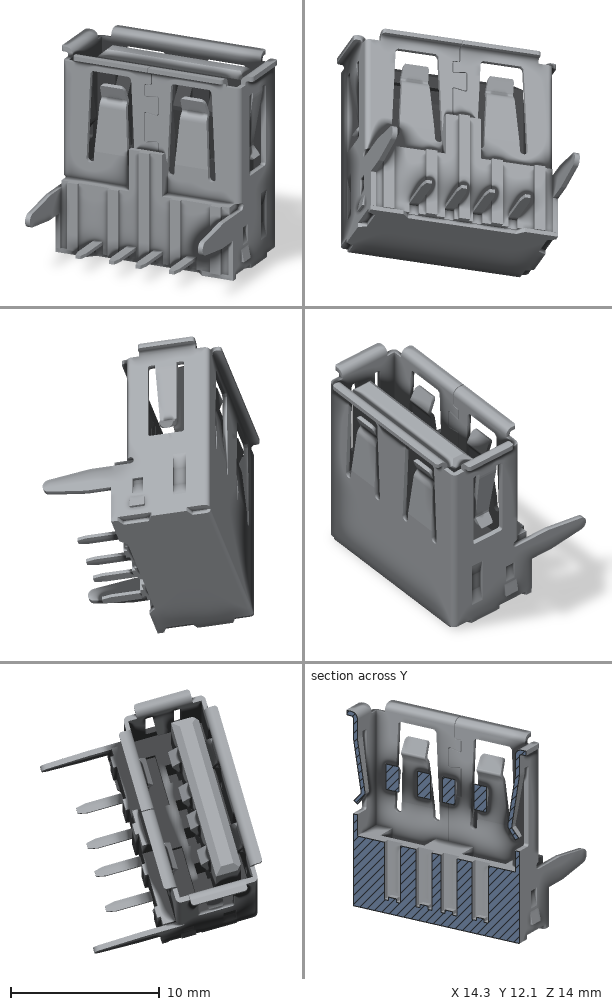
import cadquery as cq
import math


total_width = 14.3
total_height = 14.0
shell_width = 13.24
shell_depth = 5.72
side_wall = 0.36
broad_wall = 0.3
shell_corner_radius = 0.36
shoulder_z = 13.35
half_width = shell_width / 2
half_depth = shell_depth / 2
inner_half_width = half_width - side_wall
inner_half_depth = half_depth - broad_wall

broad_flange_length = 11.15
side_flange_length = 3.92
broad_flange_tip = 3.45
side_flange_tip = total_width / 2
flange_bend_radius = 0.5
flange_corner_radius = 0.21

shelf_z = 5.12
housing_front = -3.73
column_width = 2.49
column_top_z = 8.11
column_chamfer_depth = 0.49
column_chamfer_height = 0.97
rib_front = -3.98
rib_half_width = 0.39
rib_centers = (-5.33, -2.32, 0, 2.32, 5.33)
pocket_left, pocket_right = 1.47, 4.99
pocket_back = -1.05
pocket_floor_z = 4.43

tongue_width = 10.93
tongue_front, tongue_back = 0.2, 2.05
tongue_top_z = 13.25
tongue_bevel = 0.49
tongue_bevel_height = 0.45
tongue_corner_chamfer = 0.35

contact_centers = (-3.49, -0.99, 0.99, 3.49)
contact_width = 1.05
groove_width = 1.25
groove_depth = 0.43
groove_low_z, groove_top_z = 6.75, 11.98
contact_well_front = -0.59
contact_crest_y = -0.43
contact_crest_low_z, contact_crest_high_z = 10.15, 10.44
contact_foot_z = 6.88
pin_width = 0.66
pin_tip_width = 0.39
pin_low_z, pin_high_z = 0.99, 1.23
pin_taper_y = -6.29
pin_tip_y = -6.95
pin_slot_depth = 0.25

spring_center = 3.0
spring_root_half, spring_tip_half = 1.23, 0.87
spring_root_z, spring_bend_z = 7.22, 10.37
spring_jog_low_z, spring_jog_high_z, spring_crest_end_z = 10.78, 10.84, 11.07
spring_outer_tip_z, spring_tip_z = 11.93, 12.07
spring_bend_inset, spring_jog_inset, spring_crest_inset, spring_tip_inset = 0.29, 0.46, 0.5, 0.06
spring_tip_radius = 0.36
window_top_z = 12.94
window_top_half = 1.52
window_corner = 0.17
leg_end_z = 6.65
leg_end_offset = 1.53
leg_end_radius = 0.27

side_window_center = -0.1
side_window_width = 2.52
side_window_low_z, side_window_high_z = 6.65, 12.44
side_window_corner = 0.17
side_spring_root_half, side_spring_tip_half = 0.75, 0.53
side_spring_root_z, side_spring_lean_z = 12.2, 12.01
side_spring_bend_high_z, side_spring_bend_low_z = 8.4, 8.22
side_spring_outer_tip_z, side_spring_inner_tip_z = 7.61, 7.38
side_spring_lean_inset = 0.01
side_spring_inset = 0.6
side_spring_tip_inset = 0.06
side_spring_tip_run = 0.3
side_spring_tip_radius = 0.5

side_front = -3.92
tail_low_z, tail_high_z = 2.86, 4.6
tail_tip_y = -8.64
tail_tip_low_z, tail_tip_high_z = 3.22, 4.19
tail_high_taper_y, tail_low_taper_y = -5.33, -5.63
tail_round_y = -8.24
relief_end_y = -2.33
relief_radius = (shelf_z - tail_high_z) / 2
dent_depth = 0.25
dent_back, dent_front = 1.29, 0.39
dent_heights = (4.85, 3.8, 2.52, 1.52)
notch_back, notch_front = -1.67, -2.4
notch_heights = (3.32, 3.05, 2.05)
barb_back, barb_front = -1.56, -2.59
barb_low_z, barb_high_z = 0.93, 1.83
barb_height = 0.19

plate_half_width = 6.08
plate_front = -3.89
plate_back_radius = 0.26
foot_back, foot_front = 1.33, -1.12
foot_slope = 0.29
front_foot_back = -3.45
front_recess_half = 4.29
front_recess_depth = 0.47

seam_gap = 0.06
seam_radius = 0.11
seam_side = 0.5
seam_overrun = 1.43
seam_points = (
    (0, total_height + seam_overrun), (0, 12.64), (-seam_side, 12.64), (-seam_side, 11.68), (seam_side, 11.88),
    (seam_side, 10.5), (-seam_side, 10.67), (-seam_side, 8.42), (seam_side, 8.62), (seam_side, -seam_overrun),
)


def block(x0, x1, y0, y1, z0, z1):
    """Box between two opposite corners."""
    return cq.Workplane("XY").box(x1 - x0, y1 - y0, z1 - z0, centered=False).translate((x0, y0, z0))


def prism_along_x(x0, x1, points):
    """Extrude a closed (Y, Z) outline from x0 to x1."""
    return cq.Workplane("YZ", origin=(x0, 0, 0)).polyline(points).close().extrude(x1 - x0)


def prism_along_y(y0, y1, points):
    """Extrude a closed (X, Z) outline from y0 up to y1."""
    return cq.Workplane("XZ", origin=(0, y1, 0)).polyline(points).close().extrude(y1 - y0)


def left_and_right(solid):
    return solid.union(solid.mirror("YZ"))


def front_and_back(solid):
    return solid.union(solid.mirror("XZ"))


def flange(wall_outside, wall, tip, length):
    """Flange along X, rolled outwards towards -Y from a wall whose outside is at -wall_outside."""
    bend_y = -(wall_outside - wall + flange_bend_radius)
    bend_z = total_height - flange_bend_radius
    inner_radius = flange_bend_radius - wall
    diagonal = math.sqrt(0.5)
    body = (
        cq.Workplane("YZ", origin=(-length / 2, 0, 0))
        .moveTo(-wall_outside, shoulder_z)
        .lineTo(-wall_outside + wall, shoulder_z)
        .lineTo(-wall_outside + wall, bend_z)
        .threePointArc(
            (bend_y + flange_bend_radius * diagonal, bend_z + flange_bend_radius * diagonal),
            (bend_y, total_height),
        )
        .lineTo(-tip, total_height)
        .lineTo(-tip, total_height - wall)
        .lineTo(bend_y, total_height - wall)
        .threePointArc(
            (bend_y + inner_radius * diagonal, bend_z + inner_radius * diagonal),
            (-wall_outside, bend_z),
        )
        .close()
        .extrude(length)
    )
    return body.edges("|Z").edges("<Y").fillet(flange_corner_radius)


def shell_tube():
    tube = block(-half_width, half_width, -half_depth, half_depth, broad_wall, shoulder_z)
    tube = tube.edges("|Z").fillet(shell_corner_radius)
    tube = tube.cut(
        block(-inner_half_width, inner_half_width, -inner_half_depth, inner_half_depth, 0, total_height)
    )
    broad_flange = flange(half_depth, broad_wall, broad_flange_tip, broad_flange_length)
    side_flange = flange(half_width, side_wall, side_flange_tip, side_flange_length)
    side_flange = side_flange.rotate((0, 0, 0), (0, 0, 1), -90)
    tube = tube.union(front_and_back(broad_flange)).union(left_and_right(side_flange))
    opening = block(-half_width, half_width, -half_depth, relief_end_y + relief_radius, 0, shelf_z)
    return tube.cut(opening)


def board_tail():
    """Left lower side wall with its long tapered board tail."""
    relief_y = relief_end_y - relief_radius
    wall_back = relief_end_y + relief_radius
    tip_z = (tail_tip_low_z + tail_tip_high_z) / 2
    return (
        cq.Workplane("YZ", origin=(-half_width, 0, 0))
        .moveTo(wall_back, broad_wall)
        .lineTo(wall_back, shelf_z)
        .lineTo(relief_y, shelf_z)
        .threePointArc((relief_end_y, shelf_z - relief_radius), (relief_y, tail_high_z))
        .lineTo(tail_high_taper_y, tail_high_z)
        .lineTo(tail_round_y, tail_tip_high_z)
        .threePointArc((tail_tip_y, tip_z), (tail_round_y, tail_tip_low_z))
        .lineTo(tail_low_taper_y, tail_low_z)
        .lineTo(side_front, tail_low_z)
        .lineTo(side_front, broad_wall)
        .close()
        .extrude(side_wall)
    )


def bottom_plate():
    """Bottom plate: its side edges step out to feet under the side walls."""
    recess_inner_half = front_recess_half - front_recess_depth
    plate = (
        cq.Workplane("XY")
        .polyline([
            (0, half_depth),
            (-plate_half_width, half_depth),
            (-plate_half_width, foot_back + foot_slope),
            (-half_width, foot_back),
            (-half_width, foot_front),
            (-plate_half_width, foot_front - foot_slope),
            (-plate_half_width, front_foot_back + foot_slope),
            (-half_width, front_foot_back),
            (-half_width, plate_front),
            (-front_recess_half, plate_front),
            (-recess_inner_half, plate_front + front_recess_depth),
            (0, plate_front + front_recess_depth),
        ])
        .close()
        .extrude(broad_wall)
    )
    return left_and_right(plate).faces(">Y").edges("<Z").fillet(plate_back_radius)


def broad_window():
    """U-shaped cut-out around the front left spring."""
    center = -spring_center
    cutter = (
        cq.Workplane("XZ", origin=(0, -inner_half_depth, 0))
        .moveTo(center - spring_root_half, spring_root_z)
        .lineTo(center - leg_end_offset + leg_end_radius, leg_end_z)
        .threePointArc(
            (center - leg_end_offset, leg_end_z - leg_end_radius),
            (center - leg_end_offset - leg_end_radius, leg_end_z),
        )
        .lineTo(center - window_top_half, window_top_z - window_corner)
        .lineTo(center - window_top_half + window_corner, window_top_z)
        .lineTo(center + window_top_half - window_corner, window_top_z)
        .lineTo(center + window_top_half, window_top_z - window_corner)
        .lineTo(center + leg_end_offset + leg_end_radius, leg_end_z)
        .threePointArc(
            (center + leg_end_offset, leg_end_z - leg_end_radius),
            (center + leg_end_offset - leg_end_radius, leg_end_z),
        )
        .lineTo(center + spring_root_half, spring_root_z)
        .close()
        .extrude(broad_wall)
    )
    return front_and_back(left_and_right(cutter))


def broad_spring():
    """Front left spring: bent into the socket, with its tip flared back out."""
    crest_y = -half_depth + spring_crest_inset
    tip_y = -half_depth + spring_tip_inset
    filled = (
        cq.Workplane("YZ", origin=(-half_width, 0, 0))
        .moveTo(-half_depth, spring_root_z)
        .lineTo(-half_depth + spring_bend_inset, spring_bend_z)
        .tangentArcPoint((-half_depth + spring_jog_inset, spring_jog_low_z), relative=False)
        .lineTo(crest_y, spring_jog_high_z)
        .tangentArcPoint((crest_y, spring_crest_end_z), relative=False)
        .lineTo(tip_y, spring_tip_z)
        .lineTo(0, spring_tip_z)
        .lineTo(0, spring_root_z)
        .close()
        .extrude(half_width)
    )
    tip_trim = prism_along_x(-half_width, 0, [
        (tip_y, spring_outer_tip_z), (tip_y + broad_wall, spring_tip_z), (tip_y, spring_tip_z),
    ])
    strip = filled.cut(filled.translate((0, broad_wall, 0))).cut(tip_trim)
    outline = prism_along_y(-half_depth, 0, [
        (-spring_center - spring_root_half, spring_root_z),
        (-spring_center + spring_root_half, spring_root_z),
        (-spring_center + spring_tip_half, spring_tip_z),
        (-spring_center - spring_tip_half, spring_tip_z),
    ]).faces(">Z").edges("|Y").fillet(spring_tip_radius)
    return front_and_back(left_and_right(strip.intersect(outline)))


def side_window():
    height = side_window_high_z - side_window_low_z
    middle_z = (side_window_high_z + side_window_low_z) / 2
    cutter = (
        cq.Workplane("YZ", origin=(-half_width, side_window_center, middle_z))
        .rect(side_window_width, height)
        .extrude(side_wall)
        .edges("|X").fillet(side_window_corner)
    )
    root = block(
        -half_width, 0,
        side_window_center - side_spring_root_half, side_window_center + side_spring_root_half,
        side_spring_root_z, side_window_high_z,
    )
    return left_and_right(cutter.cut(root))


def side_spring():
    """Left side spring: hangs from the top of its window and bends inwards."""
    bend_x = -half_width + side_spring_inset
    tip_x = -half_width + side_spring_tip_inset
    strip = prism_along_y(-half_depth, half_depth, [
        (-half_width, side_spring_root_z),
        (-half_width + side_spring_lean_inset, side_spring_lean_z),
        (bend_x, side_spring_bend_high_z),
        (bend_x, side_spring_bend_low_z),
        (tip_x, side_spring_outer_tip_z),
        (tip_x + side_spring_tip_run, side_spring_inner_tip_z),
        (bend_x + side_wall, side_spring_bend_low_z),
        (bend_x + side_wall, side_spring_bend_high_z),
        (-inner_half_width + side_spring_lean_inset, side_spring_lean_z),
        (-inner_half_width, side_spring_root_z),
    ])
    outline = prism_along_x(-half_width, 0, [
        (side_window_center - side_spring_root_half, side_spring_root_z),
        (side_window_center + side_spring_root_half, side_spring_root_z),
        (side_window_center + side_spring_tip_half, side_spring_inner_tip_z),
        (side_window_center - side_spring_tip_half, side_spring_inner_tip_z),
    ]).faces("<Z").edges("|X").fillet(side_spring_tip_radius)
    return left_and_right(strip.intersect(outline))


def side_recesses():
    """Tapered dent and sloped notch pressed into each side wall."""
    dent_x = -half_width + dent_depth
    top, flat_top, flat_bottom, bottom = dent_heights
    dent = prism_along_y(dent_front, dent_back, [
        (-half_width, top), (dent_x, flat_top), (dent_x, flat_bottom), (-half_width, bottom),
    ])
    top, slope_top, bottom = notch_heights
    notch = prism_along_y(notch_front, notch_back, [
        (-half_width, top), (dent_x, top), (dent_x, slope_top), (-half_width, bottom),
    ])
    return left_and_right(dent.union(notch))


def side_barbs():
    barb = prism_along_y(barb_front, barb_back, [
        (-half_width + side_wall, barb_high_z),
        (-half_width, barb_high_z),
        (-half_width - barb_height, barb_low_z),
        (-half_width + side_wall, barb_low_z),
    ])
    return left_and_right(barb)


def seam():
    """Thin interlocking gap down the middle of the front wall and its flange."""
    start_y = -inner_half_depth + broad_wall
    beyond_shell = -total_width
    left_part = (
        cq.Workplane("XZ", origin=(0, start_y, 0))
        .polyline([*seam_points, (beyond_shell, seam_points[-1][1]), (beyond_shell, seam_points[0][1])])
        .close()
        .extrude(broad_flange_tip)
    )
    bends = cq.selectors.BoxSelector(
        (-2 * seam_side, -total_width, 0),
        (2 * seam_side, total_width, total_height),
    )
    left_part = left_part.edges("|Y").edges(bends).fillet(seam_radius)
    grown = (
        cq.Workplane("XZ", origin=(0, start_y, 0))
        .add(left_part.faces(">Y").wires().vals())
        .toPending()
        .offset2D(seam_gap)
        .extrude(broad_flange_tip)
    )
    return grown.cut(left_part)


def housing():
    body = block(
        -inner_half_width, inner_half_width, housing_front, inner_half_depth, broad_wall, shelf_z
    )
    column = prism_along_x(-column_width / 2, column_width / 2, [
        (housing_front, shelf_z),
        (housing_front, column_top_z),
        (-half_depth - column_chamfer_depth, column_top_z),
        (-half_depth, column_top_z - column_chamfer_height),
        (-half_depth, shelf_z),
    ])
    body = body.union(column)
    for center in rib_centers:
        top_z = column_top_z if center == 0 else shelf_z
        body = body.union(block(
            center - rib_half_width, center + rib_half_width, rib_front, housing_front, broad_wall, top_z
        ))
    pocket = block(-pocket_right, -pocket_left, -inner_half_depth, pocket_back, pocket_floor_z, shelf_z)
    return body.cut(left_and_right(pocket)).union(tongue())


def tongue():
    half = tongue_width / 2
    base_z = tongue_top_z - tongue_bevel_height
    depth = tongue_back - tongue_front
    middle_y = (tongue_back + tongue_front) / 2
    body = block(-half, half, tongue_front, tongue_back, shelf_z, base_z)
    tip = (
        cq.Workplane("XY", origin=(0, middle_y, base_z))
        .rect(tongue_width, depth)
        .workplane(offset=tongue_bevel_height)
        .rect(tongue_width - 2 * tongue_bevel, depth - 2 * tongue_bevel)
        .loft(ruled=True)
    )
    corner = (
        cq.Workplane("XY", origin=(0, 0, shelf_z))
        .polyline([
            (-half, tongue_back),
            (-half + tongue_corner_chamfer, tongue_back),
            (-half, tongue_back - tongue_corner_chamfer),
        ])
        .close()
        .extrude(total_height)
    )
    return body.union(tip).cut(left_and_right(corner))


def contact_grooves():
    """Per contact: groove in the tongue, well in the floor and slot under the pin."""
    grooves = cq.Workplane("XY")
    for center in contact_centers:
        left, right = center - groove_width / 2, center + groove_width / 2
        grooves = grooves.union(
            block(left, right, tongue_front, tongue_front + groove_depth, groove_low_z, groove_top_z)
        )
        grooves = grooves.union(
            block(left, right, contact_well_front, tongue_front, pin_low_z, shelf_z)
        )
        grooves = grooves.union(block(
            center - pin_width / 2, center + pin_width / 2,
            housing_front, housing_front + pin_slot_depth, broad_wall, pin_low_z,
        ))
    return grooves


def contacts():
    """Crested contact on the tongue and flat board pin for each position."""
    groove_back = tongue_front + groove_depth
    parts = cq.Workplane("XY")
    for center in contact_centers:
        blade = prism_along_x(center - contact_width / 2, center + contact_width / 2, [
            (groove_back, groove_top_z),
            (contact_crest_y, contact_crest_high_z),
            (contact_crest_y, contact_crest_low_z),
            (tongue_front, contact_foot_z),
            (groove_back, contact_foot_z),
        ])
        pin = (
            cq.Workplane("XY", origin=(center, 0, pin_low_z))
            .polyline([
                (-pin_width / 2, tongue_front),
                (-pin_width / 2, pin_taper_y),
                (-pin_tip_width / 2, pin_tip_y),
                (pin_tip_width / 2, pin_tip_y),
                (pin_width / 2, pin_taper_y),
                (pin_width / 2, tongue_front),
            ])
            .close()
            .extrude(pin_high_z - pin_low_z)
        )
        parts = parts.union(blade).union(pin)
    return parts


shell = shell_tube().cut(broad_window()).cut(side_window()).cut(seam())
shell = shell.union(left_and_right(board_tail())).union(bottom_plate())
shell = shell.union(broad_spring()).union(side_spring())

result = shell.union(housing().cut(contact_grooves()))
result = result.cut(side_recesses()).union(side_barbs()).union(contacts())